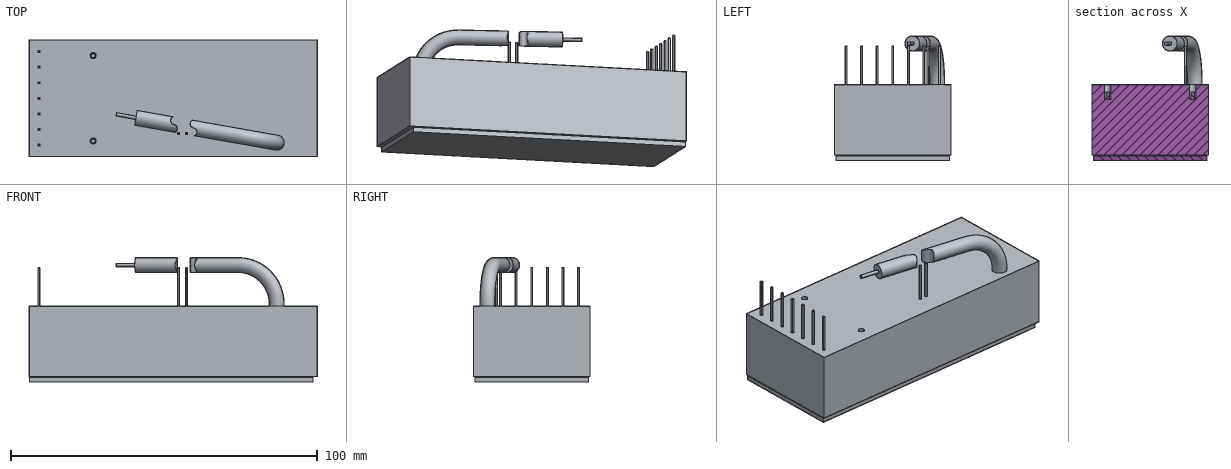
import cadquery as cq

housing_length = 94.0
housing_width = 38.1
housing_height = 22.9

plate_length = 92.5
plate_setback = 0.1
plate_width = 37.1
plate_x = plate_setback + (plate_length - housing_length) / 2
plate_thickness = 1.5

gasket_thickness = 0.3
gasket_inset = 1.4

housing_bottom = plate_thickness + gasket_thickness
housing_top = housing_bottom + housing_height

pin_width = 0.64
pin_height = 12.7
pin_tip_chamfer = 0.2
row_pin_count = 7
row_pitch = 5.1
row_x = 3.2 - housing_length / 2
pair_count = 2
pair_pitch = row_pitch / 2
pair_x = 48.8 - housing_length / 2
pair_y = -11.5

hole_diameter = 2.0
hole_depth = 4.7
hole_x = 20.9 - housing_length / 2
hole_y = 13.9
hole_centers = [(hole_x, -hole_y), (hole_x, hole_y)]
screw_diameter = 1.3
screw_recess = 2.35

cable_diameter = 4.9
cable_radius = cable_diameter / 2
cable_top = 40.6
cable_axis_z = cable_top - cable_radius
cable_angle = 10.0
cable_foot_x = 80.7 - housing_length / 2
cable_foot_y = -14.5
bend_radius = 12.7

cable_break = 27.5
cut_break = 34.0
sleeve_end = 46.6
conductor_end = 53.1
conductor_diameter = 1.1

break_bow = 1.3
break_end_offset = 0.75


def along_cable(body):
    """Move a body from the cable frame, foot at the origin and running along -X, to its place."""
    turned = body.rotate((0, 0, 0), (0, 0, 1), -cable_angle)
    return turned.translate((cable_foot_x, cable_foot_y, 0))


def cable_rod(start, end, diameter):
    """Straight round rod on the cable axis between two distances from the foot."""
    rod = cq.Workplane("YZ", origin=(-end, 0, cable_axis_z)).circle(diameter / 2)
    return rod.extrude(end - start)


def break_side(break_distance, far_distance):
    """Prism on one side of the S-shaped break, reaching to a far distance."""
    bow_y = cable_radius / 2
    break_x = -break_distance
    far_x = -far_distance
    profile = (
        cq.Workplane("XY", origin=(0, 0, cable_axis_z - cable_diameter))
        .moveTo(far_x, cable_radius)
        .lineTo(break_x - break_end_offset, cable_radius)
        .threePointArc((break_x - break_bow, bow_y), (break_x, 0))
        .threePointArc((break_x + break_bow, -bow_y), (break_x + break_end_offset, -cable_radius))
        .lineTo(far_x, -cable_radius)
        .close()
    )
    return profile.extrude(2 * cable_diameter)


def make_pin(x, y):
    pin = cq.Workplane("XY", origin=(x, y, housing_top)).rect(pin_width, pin_width).extrude(pin_height)
    return pin.faces(">Z").chamfer(pin_tip_chamfer)


def make_housing():
    block = (
        cq.Workplane("XY", origin=(0, 0, housing_bottom))
        .rect(housing_length, housing_width)
        .extrude(housing_height)
    )
    holes = (
        cq.Workplane("XY", origin=(0, 0, housing_top))
        .pushPoints(hole_centers)
        .circle(hole_diameter / 2)
        .extrude(-hole_depth)
    )
    housing = block.cut(holes)
    for i in range(row_pin_count):
        y = (i - (row_pin_count - 1) / 2) * row_pitch
        housing = housing.union(make_pin(row_x, y))
    for i in range(pair_count):
        housing = housing.union(make_pin(pair_x + i * pair_pitch, pair_y))
    return housing


def make_plate():
    return (
        cq.Workplane("XY")
        .center(plate_x, 0)
        .rect(plate_length, plate_width)
        .extrude(plate_thickness)
    )


def make_gasket():
    return (
        cq.Workplane("XY", origin=(plate_x, 0, plate_thickness))
        .rect(plate_length - 2 * gasket_inset, plate_width - 2 * gasket_inset)
        .extrude(gasket_thickness)
    )


def make_screw(x, y):
    screw = cq.Workplane("XY", origin=(x, y, housing_top - hole_depth)).circle(screw_diameter / 2)
    return screw.extrude(hole_depth - screw_recess)


def make_cable():
    bend_bottom = cable_axis_z - bend_radius
    path = (
        cq.Workplane("XZ")
        .moveTo(0, housing_top)
        .lineTo(0, bend_bottom)
        .radiusArc((-bend_radius, cable_axis_z), -bend_radius)
    )
    foot = cq.Workplane("XY", origin=(0, 0, housing_top)).circle(cable_radius).sweep(path)
    straight = cable_rod(bend_radius, cable_break + cable_diameter, cable_diameter)
    straight = straight.intersect(break_side(cable_break, 0))
    return along_cable(foot.union(straight))


def make_cable_end():
    """Loose cut length of cable with its bare conductor sticking out."""
    sleeve = cable_rod(cut_break - cable_diameter, sleeve_end, cable_diameter)
    sleeve = sleeve.intersect(break_side(cut_break, sleeve_end))
    conductor = cable_rod(sleeve_end, conductor_end, conductor_diameter)
    return along_cable(sleeve.union(conductor))


housing = make_housing()
plate = make_plate()
gasket = make_gasket()
screws = [make_screw(x, y) for x, y in hole_centers]
cable = make_cable()
cable_end = make_cable_end()

result = cq.Compound.makeCompound(
    [
        housing.val(),
        plate.val(),
        gasket.val(),
        *[screw.val() for screw in screws],
        cable.val(),
        cable_end.val(),
    ]
)